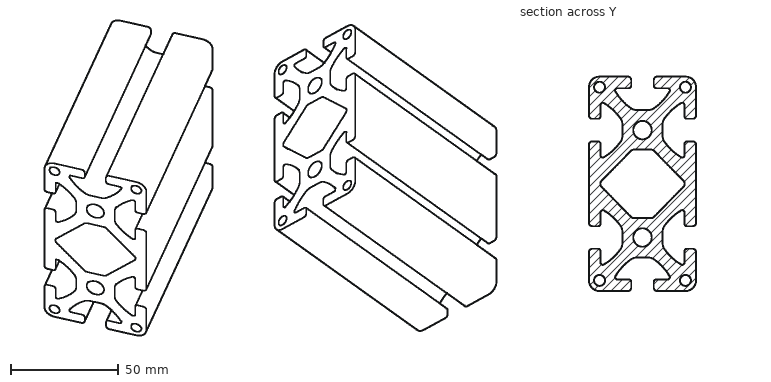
import cadquery as cq

module = 50.0
width = module
height = 2 * module
length = 100.0
corner_radius = 5.0

mouth_half_width = 5.2
lip_thickness = 5.5
undercut_half_width = 13.4
floor_half_width = 4.1
slot_depth = 15.6
flank_radius = 25.0
lip_outer_fillet = 1.7
lip_inner_fillet = 1.3
undercut_fillet = 1.0
floor_fillet = 5.0

hollow_half_width = 20.4
hollow_half_height = 15.9
hollow_flat_half_width = 4.8
hollow_fillet = 2.0

core_hole_diameter = 8.5
corner_hole_diameter = 5.0
corner_hole_inset = corner_radius

core_z = module / 2


def profile_plane():
    """XZ sketch plane on the +Y end; extruding runs toward -Y."""
    return cq.Workplane("XZ", origin=(0, length / 2, 0))


def outer_bar():
    return profile_plane().rect(width, height).extrude(length).edges("|Y").fillet(corner_radius)


def slot_cutter():
    """T-slot core with its outer face at z = 0, cutting downward."""
    undercut = (
        profile_plane()
        .moveTo(-undercut_half_width, -lip_thickness)
        .lineTo(undercut_half_width, -lip_thickness)
        .radiusArc((floor_half_width, -slot_depth), flank_radius)
        .lineTo(-floor_half_width, -slot_depth)
        .radiusArc((-undercut_half_width, -lip_thickness), flank_radius)
        .close()
        .extrude(length)
    )
    undercut = undercut.edges("|Y and >Z").fillet(undercut_fillet)
    undercut = undercut.faces("<Z").edges("|Y").fillet(floor_fillet)
    return undercut.union(mouth_cutter())


def mouth_cutter():
    """Slot mouth, flared by the rounded edges of both lips."""
    outer_flare = mouth_half_width + lip_outer_fillet
    inner_flare = mouth_half_width + lip_inner_fillet
    inner_start = lip_inner_fillet - lip_thickness
    return (
        profile_plane()
        .moveTo(-outer_flare, 0)
        .lineTo(outer_flare, 0)
        .radiusArc((mouth_half_width, -lip_outer_fillet), -lip_outer_fillet)
        .lineTo(mouth_half_width, inner_start)
        .radiusArc((inner_flare, -lip_thickness), -lip_inner_fillet)
        .lineTo(-inner_flare, -lip_thickness)
        .radiusArc((-mouth_half_width, inner_start), -lip_inner_fillet)
        .lineTo(-mouth_half_width, -lip_outer_fillet)
        .radiusArc((-outer_flare, 0), -lip_outer_fillet)
        .close()
        .extrude(length)
    )


def hollow_cutter():
    half_outline = [
        (hollow_half_width, 0),
        (hollow_flat_half_width, hollow_half_height),
        (-hollow_flat_half_width, hollow_half_height),
    ]
    opposite_half = [(-x, -z) for x, z in half_outline]
    hexagon = profile_plane().polyline(half_outline + opposite_half).close().extrude(length)
    return hexagon.edges("|Y").fillet(hollow_fillet)


def hole_cutter(centers, diameter):
    return profile_plane().pushPoints(centers).circle(diameter / 2).extrude(length)


result = outer_bar().cut(hollow_cutter())

slot_places = [(0, 0, height / 2), (180, 0, -height / 2)]
for z in (-core_z, core_z):
    slot_places += [(90, width / 2, z), (-90, -width / 2, z)]

slot = slot_cutter()
for turn, x, z in slot_places:
    result = result.cut(slot.rotate((0, 0, 0), (0, 1, 0), turn).translate((x, 0, z)))

core_centers = [(0, -core_z), (0, core_z)]
result = result.cut(hole_cutter(core_centers, core_hole_diameter))

corner_x = width / 2 - corner_hole_inset
corner_z = height / 2 - corner_hole_inset
corner_centers = [(x, z) for x in (-corner_x, corner_x) for z in (-corner_z, corner_z)]
result = result.cut(hole_cutter(corner_centers, corner_hole_diameter))